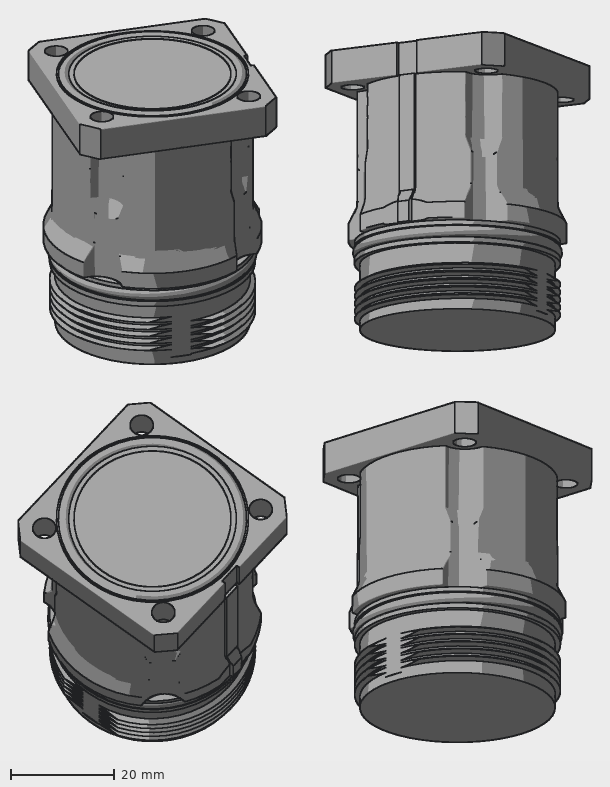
import cadquery as cq
import math

total_height = 54.05
flange_top = 53.65
flange_bottom = 47.05

flange_side = 40.0
flange_corner = 3.25
flange_edge_round = 0.2
hole_offset = 14.9
hole_diameter = 4.5

seal_foot_radius = 18.25
seal_shoulder_radius = 17.6
seal_shoulder_height = 54.0
seal_crest_radius = 17.25
seal_inner_radius = 16.25
recess_radius = 15.25
recess_depth = 0.1
seal_moat_radius = 18.65
seal_moat_depth = 0.1

barrel_radius = 19.5
collar_diameter = 42.45
collar_radius = collar_diameter / 2
collar_bottom = 17.45
collar_top = 20.85
collar_lower_round = 0.25
collar_slope = math.radians(30)
collar_root_round = 3.05
collar_root_top = 24.9

seat_radius = 20.0
seat_bottom = 13.1
seat_neck_radius = 19.55
oring_height = 15.35
oring_tube_radius = 1.2
oring_outer_radius = 20.3

neck_radius = 19.0
lead_height = 1.4
thread_radius = 20.0
thread_pitch = 1.5
thread_turns = 5
thread_start = 2.1
thread_flank = 0.65
thread_overlap = 0.2
flat_distance = 18.85

upper_channel_offset = 15.7
upper_channel_radius = 4.7
lower_channel_offset = 16.75
lower_channel_radius = 5.1
mouth_reach = 5.4
channel_taper_top = 34.3
channel_taper_bottom = 29.2
channel_taper_ratio = 0.3
channel_edge_round = 0.25

corner_limit = 8.1
tolerance = 0.05

notch_width = 4.45
notch_depth = 0.7
rib_width = 3.35
nose_tip_width = 2.5
rib_reach = 19.95
collar_flat = 20.65
key_to_collar_depth = 42.55
key_reach = key_to_collar_depth - collar_radius
nose_shoulder = 21.55
nose_root_width = 3.05
key_inner = 18.4


def barrel_and_collar():
    root_drop = collar_root_round * math.sin(collar_slope)
    root_spread = collar_root_round * (1 - math.cos(collar_slope))
    half_slope = collar_slope / 2
    arc_middle = (
        barrel_radius + collar_root_round * (1 - math.cos(half_slope)),
        collar_root_top - collar_root_round * math.sin(half_slope),
    )
    return (
        cq.Workplane("XZ")
        .moveTo(0, collar_bottom)
        .lineTo(collar_radius - collar_lower_round, collar_bottom)
        .radiusArc((collar_radius, collar_bottom + collar_lower_round), -collar_lower_round)
        .lineTo(collar_radius, collar_top)
        .lineTo(barrel_radius + root_spread, collar_root_top - root_drop)
        .threePointArc(arc_middle, (barrel_radius, collar_root_top))
        .lineTo(barrel_radius, flange_bottom)
        .lineTo(0, flange_bottom)
        .close()
        .revolve(360, (0, 0, 0), (0, 1, 0))
    )


def channel(angle):
    """Vertical channel at a flange corner, tapering to a narrower one that opens outward."""
    taper_drop = channel_taper_top - channel_taper_bottom
    taper_end_radius = upper_channel_radius - channel_taper_ratio * taper_drop
    upper = (
        cq.Workplane("XZ")
        .moveTo(0, channel_taper_bottom)
        .lineTo(taper_end_radius, channel_taper_bottom)
        .lineTo(upper_channel_radius, channel_taper_top)
        .lineTo(upper_channel_radius, flange_bottom)
        .lineTo(0, flange_bottom)
        .close()
        .revolve(360, (0, 0, 0), (0, 1, 0))
        .translate((upper_channel_offset, upper_channel_offset, 0))
    )
    lower_height = channel_taper_top - collar_bottom
    lower = (
        cq.Workplane("XY", origin=(lower_channel_offset, lower_channel_offset, collar_bottom))
        .circle(lower_channel_radius)
        .extrude(lower_height)
    )
    mouth_start = lower_channel_offset - lower_channel_radius
    mouth_end = lower_channel_offset + mouth_reach
    mouth = (
        cq.Workplane("XY", origin=(0, 0, collar_bottom))
        .moveTo(mouth_start, lower_channel_offset)
        .lineTo(mouth_start, mouth_end)
        .lineTo(mouth_end, mouth_end)
        .lineTo(mouth_end, mouth_start)
        .lineTo(lower_channel_offset, mouth_start)
        .close()
        .extrude(lower_height)
    )
    return upper.union(lower).union(mouth).rotate((0, 0, 0), (0, 0, 1), angle)


def key():
    """Rib up the barrel, ending in a tapered nose across the flat of the collar."""
    nose_top = nose_shoulder + (key_reach - rib_reach) / math.tan(collar_slope)
    rib = (
        cq.Workplane("XY", origin=(0, (key_inner + rib_reach) / 2, collar_top))
        .box(rib_width, rib_reach - key_inner, flange_bottom - collar_top, centered=(True, True, False))
    )
    nose = (
        cq.Workplane("XY", origin=(0, 0, collar_bottom))
        .polyline([
            (-nose_root_width / 2, key_inner),
            (nose_root_width / 2, key_inner),
            (nose_root_width / 2, collar_flat),
            (nose_tip_width / 2, key_reach),
            (-nose_tip_width / 2, key_reach),
            (-nose_root_width / 2, collar_flat),
        ])
        .close()
        .extrude(nose_top - collar_bottom)
    )
    nose_side = (
        cq.Workplane("YZ")
        .polyline([
            (key_inner, collar_bottom),
            (key_reach, collar_bottom),
            (key_reach, nose_shoulder),
            (rib_reach, nose_top),
            (key_inner, nose_top),
        ])
        .close()
        .extrude(rib_width / 2, both=True)
    )
    return rib.union(nose.intersect(nose_side))


def flange():
    trimmed_diagonal = math.sqrt(2) * (flange_side - flange_corner)
    plate = (
        cq.Workplane("XY", origin=(0, 0, flange_bottom))
        .rect(flange_side, flange_side)
        .extrude(flange_top - flange_bottom)
        .faces("<Z or >Z")
        .edges()
        .fillet(flange_edge_round)
    )
    corner_trim = (
        cq.Workplane("XY", origin=(0, 0, flange_bottom))
        .transformed(rotate=(0, 0, 45))
        .rect(trimmed_diagonal, trimmed_diagonal)
        .extrude(flange_top - flange_bottom)
    )
    holes = (
        cq.Workplane("XY", origin=(0, 0, flange_bottom))
        .rect(2 * hole_offset, 2 * hole_offset, forConstruction=True)
        .vertices()
        .circle(hole_diameter / 2)
        .extrude(flange_top - flange_bottom)
    )
    notch = (
        cq.Workplane("XY", origin=(0, flange_side / 2, flange_bottom))
        .rect(notch_width, 2 * notch_depth)
        .extrude(flange_top - flange_bottom)
    )
    recess = (
        cq.Workplane("XY", origin=(0, 0, flange_top - recess_depth))
        .circle(recess_radius)
        .extrude(recess_depth)
    )
    moat = (
        cq.Workplane("XY", origin=(0, 0, flange_top - seal_moat_depth))
        .circle(seal_moat_radius)
        .circle(seal_foot_radius)
        .extrude(seal_moat_depth)
    )
    return plate.intersect(corner_trim).cut(holes).cut(notch).cut(recess).cut(moat)


def face_seal():
    return (
        cq.Workplane("XZ")
        .moveTo(seal_inner_radius, flange_bottom)
        .lineTo(seal_foot_radius, flange_bottom)
        .lineTo(seal_foot_radius, flange_top)
        .lineTo(seal_shoulder_radius, seal_shoulder_height)
        .threePointArc((seal_crest_radius, total_height), (seal_inner_radius, flange_top))
        .close()
        .revolve(360, (0, 0, 0), (0, 1, 0))
    )


def oring_seat():
    groove_bottom = oring_height - oring_tube_radius
    seat = (
        cq.Workplane("XY", origin=(0, 0, seat_bottom))
        .circle(seat_radius)
        .extrude(groove_bottom - seat_bottom)
        .faces(">Z")
        .workplane()
        .circle(seat_neck_radius)
        .extrude(2 * oring_tube_radius)
        .faces(">Z")
        .workplane()
        .circle(seat_radius)
        .extrude(collar_bottom - groove_bottom - 2 * oring_tube_radius)
    )
    oring_center = oring_outer_radius - oring_tube_radius
    oring = (
        cq.Workplane("XZ")
        .moveTo(oring_center, oring_height - oring_tube_radius)
        .threePointArc(
            (oring_outer_radius, oring_height),
            (oring_center, oring_height + oring_tube_radius),
        )
        .close()
        .revolve(360, (0, 0, 0), (0, 1, 0))
    )
    return seat.union(oring)


def threaded_end():
    root_radius = neck_radius - thread_overlap
    neck = cq.Workplane("XY").circle(neck_radius).extrude(seat_bottom)
    path = cq.Wire.makeHelix(
        thread_pitch, thread_pitch * thread_turns, root_radius, center=cq.Vector(0, 0, thread_start)
    )
    ridge = (
        cq.Workplane("XZ")
        .polyline([
            (root_radius, thread_start - thread_flank),
            (thread_radius, thread_start),
            (root_radius, thread_start + thread_flank),
        ])
        .close()
        .sweep(cq.Workplane(path), isFrenet=True)
    )
    flats = (
        cq.Workplane("XY", origin=(0, 0, lead_height))
        .rect(2 * flat_distance, 4 * thread_radius)
        .extrude(seat_bottom - lead_height)
    )
    lead = cq.Workplane("XY").circle(neck_radius).extrude(lead_height)
    return neck.union(ridge).intersect(flats).union(lead)


def is_channel_rim(edge):
    """True for the sharp edges where a channel breaks out of the barrel or collar."""
    middle = edge.positionAt(0.5)
    on_outside = math.hypot(middle.x, middle.y) > barrel_radius - tolerance
    at_corner = min(abs(middle.x), abs(middle.y)) > corner_limit
    between_ends = collar_bottom + tolerance < middle.z < flange_bottom - tolerance
    at_wall_seam = abs(max(abs(middle.x), abs(middle.y)) - lower_channel_offset) < tolerance
    is_arc_around_part = edge.geomType() == "CIRCLE"
    return on_outside and at_corner and between_ends and not at_wall_seam and not is_arc_around_part


def body():
    collar_key_cut = (
        cq.Workplane("XY", origin=(0, collar_flat + collar_radius, collar_bottom))
        .box(2 * collar_radius, 2 * collar_radius, collar_root_top - collar_bottom,
             centered=(True, True, False))
    )
    shell = barrel_and_collar().cut(collar_key_cut)
    for angle in (0, 90, 180, 270):
        shell = shell.cut(channel(angle))
    rims = [edge for edge in shell.edges().vals() if is_channel_rim(edge)]
    shell = shell.newObject(rims).fillet(channel_edge_round)
    return shell.union(key())


result = (
    body()
    .union(flange())
    .union(face_seal())
    .union(oring_seat())
    .union(threaded_end())
)